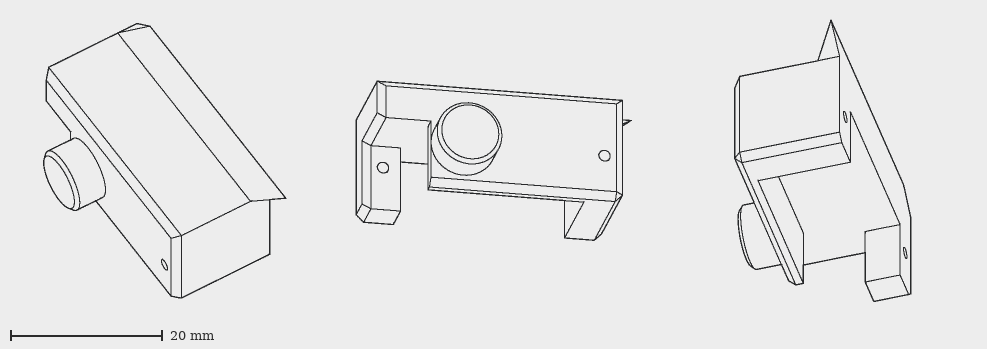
import cadquery as cq

total_length = 37.03
total_depth = 19.25
total_height = 17.5
body_length = 33.03
body_depth = 14.75
body_height = 14.5
edge_chamfer = 1.0

roof_thickness = 5.5
post_depth = 4.8
post_width = 5.0
front_wall_thickness = 2.05
front_wall_start = 7.05

lip_depth = 3.0
lip_left_offset = 3.25

boss_diameter = 8.7
boss_x = 11.4
boss_chamfer = 0.5
axis_height = 6.0
hole_diameter = 1.5
hole_inset = 2.63

roof_underside = body_height - roof_thickness
front_y = -body_depth
front_wall_back_y = front_y + front_wall_thickness
right_post_start = body_length - post_width


def box(x_start, x_end, y_start, y_end, z_start, z_end):
    """Box between the given limits."""
    size = (x_end - x_start, y_end - y_start, z_end - z_start)
    return cq.Workplane("XY").box(*size, centered=False).translate((x_start, y_start, z_start))


def cylinder_along_y(x, diameter, y_front, y_back):
    """Round bar at axis height, running from y_front back to y_back."""
    plane = cq.Workplane("XZ", origin=(x, y_back, axis_height))
    return plane.circle(diameter / 2).extrude(y_back - y_front)


def make_body():
    """Roof carried by a back left post, a full right post and a front wall."""
    body = box(0, body_length, front_y, 0, 0, body_height)

    bevel_edges = body.faces("<Y").edges().add(body.faces(">X").edges("<Z"))
    body = bevel_edges.chamfer(edge_chamfer)

    body = body.cut(box(0, front_wall_start, front_y, -post_depth, 0, roof_underside))
    body = body.cut(box(post_width, right_post_start, front_wall_back_y, 0, 0, roof_underside))

    left_end = body.faces("<X")
    margin = 0.37
    step_region = cq.selectors.BoxSelector(
        (-margin, front_y, -margin), (margin, -margin, roof_underside + margin)
    )
    step_edges = left_end.edges(step_region)
    return step_edges.chamfer(edge_chamfer)


def make_lip():
    """Triangular ridge whose two ends both lean to the right."""
    section = (
        cq.Workplane("YZ")
        .moveTo(0, body_height)
        .lineTo(-lip_depth, body_height)
        .lineTo(0, total_height)
        .close()
        .extrude(total_length)
    )
    end_slopes = (
        cq.Workplane("XZ")
        .moveTo(0, body_height)
        .lineTo(body_length, body_height)
        .lineTo(total_length, total_height)
        .lineTo(lip_left_offset, total_height)
        .close()
        .extrude(lip_depth)
    )
    return section.intersect(end_slopes)


def make_boss():
    """Bevelled round boss on the front wall."""
    boss = cylinder_along_y(boss_x, boss_diameter, -total_depth, front_y)
    return boss.faces("<Y").chamfer(boss_chamfer)


result = make_body().union(make_lip()).union(make_boss())
for hole_x in (hole_inset, body_length - hole_inset):
    result = result.cut(cylinder_along_y(hole_x, hole_diameter, front_y, 0))